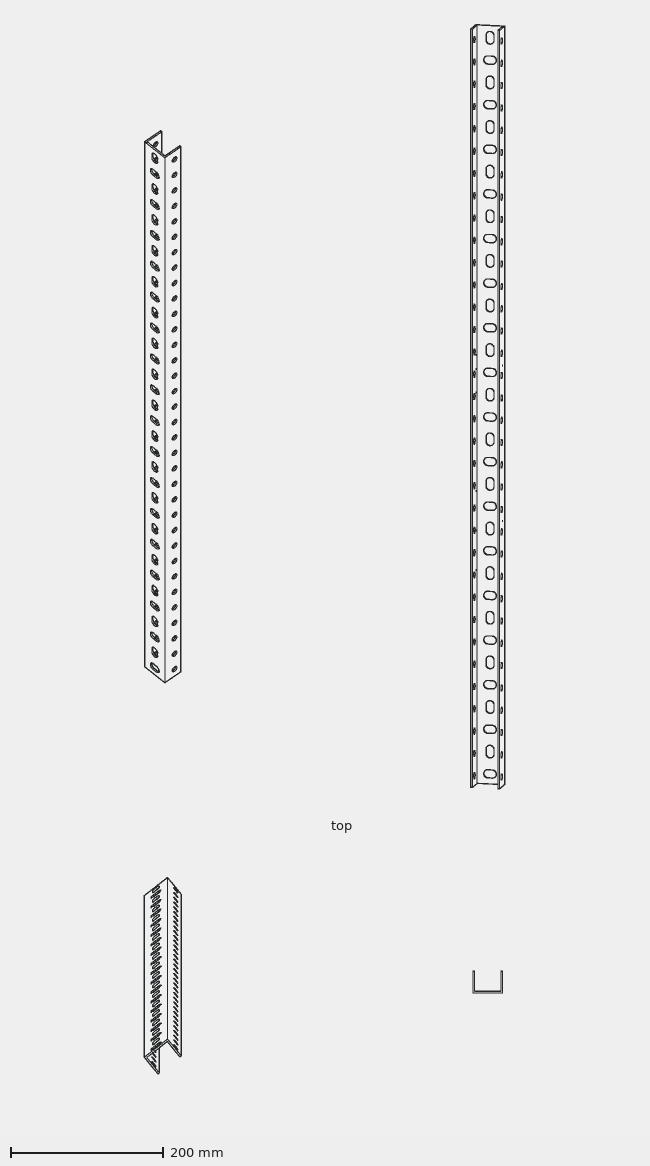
import cadquery as cq

width = 39.27
depth = 29.0
length = 1020.0
thickness = 2.5

pitch = 30.0
hole_count = round(length / pitch)
first_hole_height = 13.5
slot_length = 17.0
slot_width = 11.0
flange_hole_diameter = 8.2
flange_hole_y = 17.5

lying = 0
upright = 90


def make_channel():
    """U-shaped channel with square corners, standing along Z."""
    blank = cq.Workplane("XY").box(width, depth, length, centered=(True, False, False))
    cavity = (
        cq.Workplane("XY")
        .box(width - 2 * thickness, depth - thickness, length, centered=(True, False, False))
        .translate((0, thickness, 0))
    )
    return blank.cut(cavity)


def web_slots(heights, angle):
    """Round-ended slots through the web, centred at the given heights."""
    return (
        cq.Workplane("XZ")
        .pushPoints([(0, z) for z in heights])
        .slot2D(slot_length, slot_width, angle)
        .extrude(-thickness)
    )


def flange_holes(heights):
    """Round holes passing through both flanges at the given heights."""
    return (
        cq.Workplane("YZ")
        .pushPoints([(flange_hole_y, z) for z in heights])
        .circle(flange_hole_diameter / 2)
        .extrude(width / 2, both=True)
    )


hole_heights = [first_hole_height + i * pitch for i in range(hole_count)]

lying_heights = hole_heights[0::2]
upright_heights = hole_heights[1::2]

result = (
    make_channel()
    .cut(web_slots(lying_heights, lying))
    .cut(web_slots(upright_heights, upright))
    .cut(flange_holes(hole_heights))
)